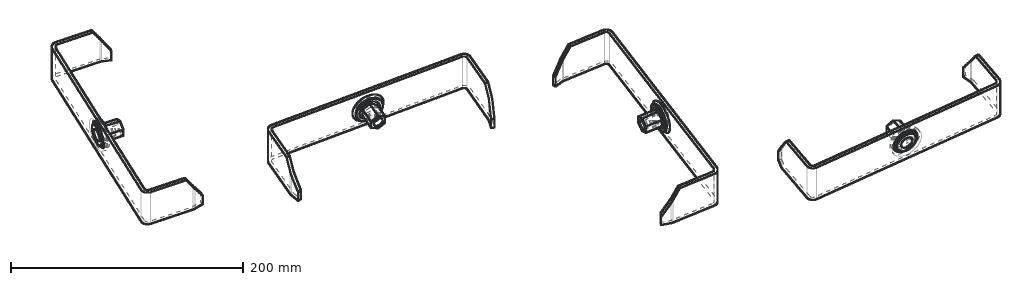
import cadquery as cq
import math

LENGTH = 195.0
DEPTH = 57.0
HEIGHT = 40.0
THICKNESS = 3.1
CORNER_RADIUS = 6.0
LIP_START = 46.6
LIP_ANGLE = 15.0
LIP_RADIUS = 7.8
SLOPE_START = 40.0
TIP_HEIGHT = 10.5

DIMPLE_DEPTH = 2.0
DIMPLE_MOUTH_RADIUS = 15.0
DIMPLE_FLOOR_RADIUS = 12.0
DIMPLE_BASE_RADIUS = 15.0
DIMPLE_TOP_RADIUS = 12.9
DIMPLE_HOLE_RADIUS = 11.3

FLANGE_THICKNESS = 1.4

BOSS_RADIUS = 9.8
HEX_FLATS = 13.6
HEX_LENGTH = 15.8
BORE_RADIUS = 5.7
BORE_DEPTH = 15.6
END_HOLE_RADIUS = 4.3
SHOULDER_LENGTH = 0.8

DIMPLE_TOP = DIMPLE_DEPTH + THICKNESS
FLANGE_TOP = DIMPLE_TOP + FLANGE_THICKNESS
SPACER_END = FLANGE_TOP + HEX_LENGTH


def revolve_about_y(sketch):
    """Turn a closed (radius, Y) outline about the Y axis."""
    return sketch.close().revolve(360, (0, 0, 0), (0, 1, 0))


def cylinder(radius, start, end):
    """Solid cylinder along Y between two Y positions."""
    return cq.Workplane("XZ", origin=(0, start, 0)).circle(radius).extrude(start - end)


def lip_arc(center, radius):
    """Middle and end points of a lip bend on the -X leg."""
    points = []
    for degrees in (LIP_ANGLE / 2, LIP_ANGLE):
        angle = math.radians(degrees)
        x = center[0] - radius * math.cos(angle)
        y = center[1] + radius * math.sin(angle)
        points.append((x, y))
    return points


def make_half_strip():
    """The -X half of the bent strip."""
    outside = -LENGTH / 2
    inside = outside + THICKNESS
    inner_corner = CORNER_RADIUS - THICKNESS
    bend_center_x = outside + CORNER_RADIUS
    diagonal = math.sqrt(0.5)
    lip_center = (outside + LIP_RADIUS, LIP_START)
    outer_mid, outer_end = lip_arc(lip_center, LIP_RADIUS)
    inner_mid, inner_end = lip_arc(lip_center, LIP_RADIUS - THICKNESS)

    lean = math.radians(LIP_ANGLE)
    rise = DEPTH - outer_end[1]
    run = rise * math.tan(lean)
    outer_tip = (outer_end[0] + run, DEPTH)
    inner_tip = (inner_end[0] + run, inner_end[1] + rise)

    outer_corner_mid = (bend_center_x - CORNER_RADIUS * diagonal, CORNER_RADIUS * (1 - diagonal))
    inner_corner_mid = (bend_center_x - inner_corner * diagonal, CORNER_RADIUS - inner_corner * diagonal)
    return (
        cq.Workplane("XY", origin=(0, 0, -HEIGHT / 2))
        .moveTo(0, 0)
        .lineTo(bend_center_x, 0)
        .threePointArc(outer_corner_mid, (outside, CORNER_RADIUS))
        .lineTo(outside, LIP_START)
        .threePointArc(outer_mid, outer_end)
        .lineTo(*outer_tip)
        .lineTo(*inner_tip)
        .lineTo(*inner_end)
        .threePointArc(inner_mid, (inside, LIP_START))
        .lineTo(inside, CORNER_RADIUS)
        .threePointArc(inner_corner_mid, (bend_center_x, THICKNESS))
        .lineTo(0, THICKNESS)
        .close()
        .extrude(HEIGHT)
    )


def make_slope_cutter():
    """Wedge that slopes the top edges of both legs."""
    top = HEIGHT / 2
    return (
        cq.Workplane("YZ")
        .polyline([(SLOPE_START, top), (DEPTH, top), (DEPTH, TIP_HEIGHT - top)])
        .close()
        .extrude(LENGTH / 2, both=True)
    )


def make_bracket():
    half = make_half_strip()
    strip = half.union(half.mirror("YZ")).cut(make_slope_cutter())
    raised = revolve_about_y(
        cq.Workplane("XY")
        .moveTo(0, 0)
        .lineTo(DIMPLE_BASE_RADIUS, 0)
        .lineTo(DIMPLE_BASE_RADIUS, THICKNESS)
        .lineTo(DIMPLE_TOP_RADIUS, DIMPLE_TOP)
        .lineTo(0, DIMPLE_TOP)
    )
    mouth_width = DIMPLE_MOUTH_RADIUS - DIMPLE_FLOOR_RADIUS
    roll_radius = (mouth_width**2 + DIMPLE_DEPTH**2) / (2 * DIMPLE_DEPTH)
    half_turn = math.asin(mouth_width / roll_radius) / 2
    roll_mid = (
        DIMPLE_MOUTH_RADIUS - roll_radius * math.sin(half_turn),
        roll_radius * (1 - math.cos(half_turn)),
    )
    recess = revolve_about_y(
        cq.Workplane("XY")
        .moveTo(0, 0)
        .lineTo(DIMPLE_MOUTH_RADIUS, 0)
        .threePointArc(roll_mid, (DIMPLE_FLOOR_RADIUS, DIMPLE_DEPTH))
        .lineTo(0, DIMPLE_DEPTH)
    )
    hole = cylinder(DIMPLE_HOLE_RADIUS, 0, DIMPLE_TOP)
    return strip.union(raised).cut(recess).cut(hole)


def make_ring():
    sleeve = cylinder(DIMPLE_HOLE_RADIUS, DIMPLE_DEPTH, DIMPLE_TOP)
    flange = cylinder(DIMPLE_TOP_RADIUS, DIMPLE_TOP, FLANGE_TOP)
    return sleeve.union(flange).cut(cylinder(BOSS_RADIUS, 0, FLANGE_TOP))


def make_spacer():
    boss = cylinder(BOSS_RADIUS, 0, FLANGE_TOP)
    hex_diameter = HEX_FLATS / math.cos(math.pi / 6)
    hexagon = (
        cq.Workplane("XZ", origin=(0, FLANGE_TOP, 0))
        .transformed(rotate=(0, 0, 30))
        .polygon(6, hex_diameter)
        .extrude(-HEX_LENGTH)
    )
    shoulder_end = BORE_DEPTH + SHOULDER_LENGTH
    bore = revolve_about_y(
        cq.Workplane("XY")
        .moveTo(0, 0)
        .lineTo(BORE_RADIUS, 0)
        .lineTo(BORE_RADIUS, BORE_DEPTH)
        .lineTo(END_HOLE_RADIUS, shoulder_end)
        .lineTo(END_HOLE_RADIUS, SPACER_END)
        .lineTo(0, SPACER_END)
    )
    return boss.union(hexagon).cut(bore)


bracket = make_bracket()
ring = make_ring()
spacer = make_spacer()

result = cq.Compound.makeCompound([bracket.val(), ring.val(), spacer.val()])